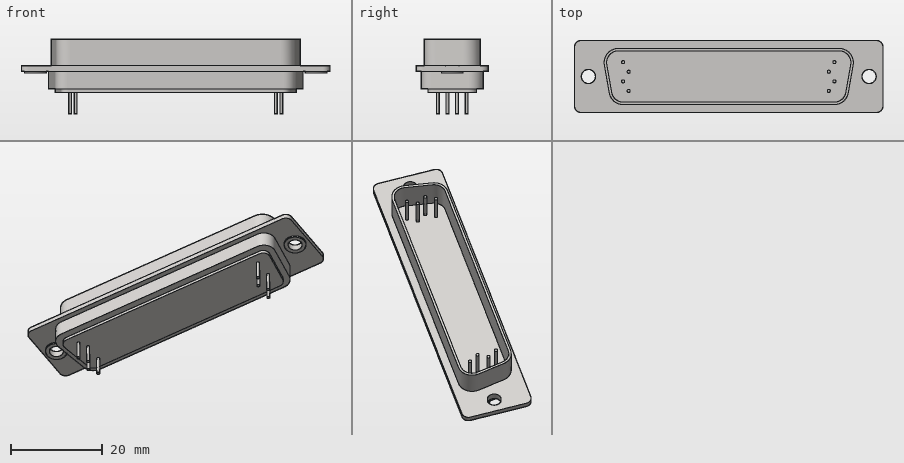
import cadquery as cq
import math

flange_length = 67.3
flange_width = 15.75
flange_thickness = 1.2
flange_corner_radius = 1.5

side_angle = 10.0
shell_size = (54.3, 12.25, 3.1)
body_size = (55.5, 13.5, 2.6)
base_size = (52.55, 10.6, 1.55)
shell_wall = 0.55

shell_top = 7.0
cavity_floor = 0.4
body_bottom = -3.85
base_bottom = -4.65

hole_spacing = 61.2
hole_diameter = 3.0
collar_diameter = 4.8
collar_height = 0.4

pin_diameter = 0.7
pin_top = 6.7
pin_bottom = -9.3
pin_row_pitch = 2.1
pin_outer_x = 23.0
pin_inner_x = 21.8


def d_prism(size, bottom, top, inset=0.0):
    """Symmetric D-shaped prism, wider at +Y, moved inward by the inset."""
    length, width, corner_radius = size
    half_length = length / 2 - inset
    half_width = width / 2 - inset
    radius = corner_radius - inset
    angle = math.radians(side_angle)
    slope = math.tan(angle)
    wide_x = half_length - radius + radius * (slope + 1 / math.cos(angle))
    narrow_x = wide_x - 2 * half_width * slope
    corners = [
        (-wide_x, half_width),
        (wide_x, half_width),
        (narrow_x, -half_width),
        (-narrow_x, -half_width),
    ]
    plane = cq.Workplane("XY").workplane(offset=bottom)
    prism = plane.polyline(corners).close().extrude(top - bottom)
    return prism.edges("|Z").fillet(radius)


def cylinders(points, diameter, bottom, top):
    """Equal upright cylinders centred on the points."""
    plane = cq.Workplane("XY").workplane(offset=bottom)
    return plane.pushPoints(points).circle(diameter / 2).extrude(top - bottom)


flange = cq.Workplane("XY").rect(flange_length, flange_width).extrude(flange_thickness)
flange = flange.edges("|Z").fillet(flange_corner_radius)

shell = d_prism(shell_size, 0, shell_top)
cavity = d_prism(shell_size, cavity_floor, shell_top, shell_wall)
body = d_prism(body_size, body_bottom, 0)
base = d_prism(base_size, base_bottom, body_bottom)
connector = flange.union(shell).cut(cavity).union(body).union(base)

hole_points = [(side * hole_spacing / 2, 0) for side in (-1, 1)]
connector = connector.union(cylinders(hole_points, collar_diameter, -collar_height, 0))
connector = connector.cut(cylinders(hole_points, hole_diameter, -collar_height, flange_thickness))

pin_points = []
for row in range(4):
    pin_x = pin_outer_x if row % 2 == 0 else pin_inner_x
    pin_y = (1.5 - row) * pin_row_pitch
    pin_points += [(-pin_x, pin_y), (pin_x, pin_y)]

result = connector.union(cylinders(pin_points, pin_diameter, pin_bottom, pin_top))